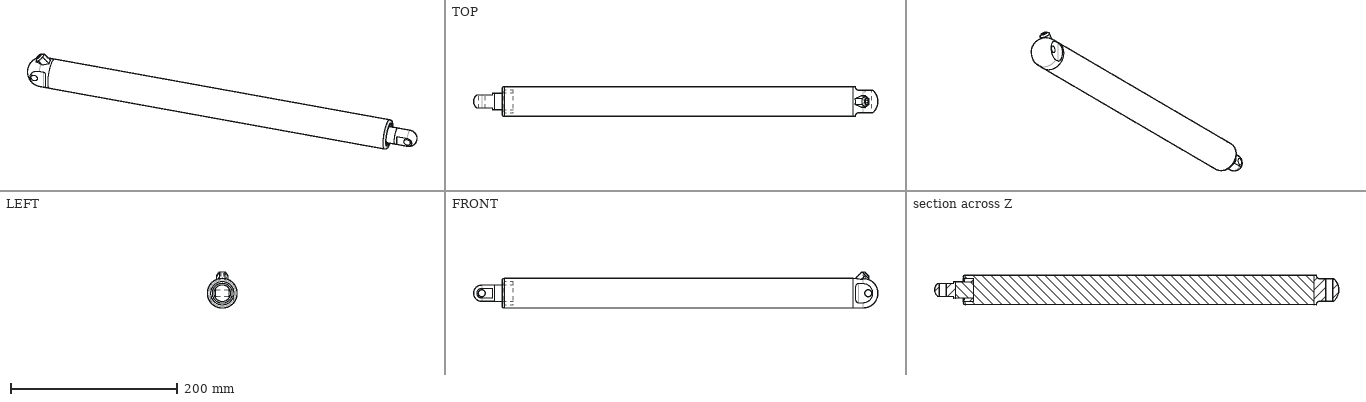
import cadquery as cq
import math

overall_length = 486.25
pin_hole_diameter = 8.15

rod_diameter = 20.0
rod_start = 25.5
eye_diameter = 19.9
eye_flat_width = 16.0
eye_flat_end = 22.75
eye_hole_x = 10.0

gland_start = 34.5
gland_head_length = 2.75
gland_head_diameter = 35.9
gland_edge_radius = 2.0
gland_spigot_diameter = 28.0
gland_spigot_length = 10.0
wiper_seats = [(28.0, 0.5), (24.0, 1.0)]
tube_start = gland_start + gland_head_length
gland_end = tube_start + gland_spigot_length

tube_diameter = 36.0
cap_diameter = 35.9
cap_radius = cap_diameter / 2
cap_dome_x = overall_length - cap_radius
cap_straight_length = 12.0
cap_start = cap_dome_x - cap_straight_length
cap_hole_to_tip = 11.75
cap_hole_x = overall_length - cap_hole_to_tip
lug_width = 27.5
lug_shoulder_length = 3.0
lug_shoulder_x = cap_start + lug_shoulder_length
lug_fillet = 3.25

fitting_tilt = 45.0
fitting_axis_x = cap_dome_x - 0.75
fitting_across_flats = 12.0
fitting_hex_height = 5.0
fitting_tip_height = 2.25
fitting_tip_diameter = fitting_across_flats - 2 * fitting_tip_height
fitting_bore_diameter = 4.0
fitting_bore_depth = 4.0
fitting_overrun = 7.0

cut_size = 2 * tube_diameter


def cylinder(diameter, start, end):
    """Round bar on the X axis."""
    return cq.Workplane("YZ", origin=(start, 0, 0)).circle(diameter / 2).extrude(end - start)


def cross_hole(x):
    """Pin hole cutter along Y."""
    return cq.Workplane("XZ", origin=(x, 0, 0)).circle(pin_hole_diameter / 2).extrude(cut_size, both=True)


def domed_bar(diameter, dome_x, flat_x):
    """Round bar from flat_x to dome_x, closed there by a half sphere."""
    radius = diameter / 2
    direction = math.copysign(1, dome_x - flat_x)
    arc_middle = radius * math.sqrt(0.5)
    return (
        cq.Workplane("XY")
        .moveTo(flat_x, 0)
        .lineTo(flat_x, radius)
        .lineTo(dome_x, radius)
        .threePointArc((dome_x + direction * arc_middle, arc_middle), (dome_x + direction * radius, 0))
        .close()
        .revolve(360, (0, 0, 0), (1, 0, 0))
    )


def make_rod_eye():
    eye = domed_bar(eye_diameter, eye_diameter / 2, rod_start)
    side_block = cq.Workplane("XY").box(eye_flat_end, cut_size, cut_size, centered=(False, True, True))
    for side in (1, -1):
        eye = eye.cut(side_block.translate((0, side * (eye_flat_width + cut_size) / 2, 0)))
    return eye.cut(cross_hole(eye_hole_x))


def make_rod():
    return cylinder(rod_diameter, rod_start, gland_end)


def make_gland():
    head = cylinder(gland_head_diameter, gland_start, tube_start)
    head = head.faces("<X").edges().fillet(gland_edge_radius)
    gland = head.union(cylinder(gland_spigot_diameter, tube_start, gland_end))
    for diameter, depth in wiper_seats:
        gland = gland.cut(cylinder(diameter, gland_start, gland_start + depth))
    return gland.cut(cylinder(rod_diameter, gland_start, gland_end))


def make_tube():
    tube = cylinder(tube_diameter, tube_start, cap_start)
    return tube.cut(cylinder(gland_spigot_diameter, tube_start, gland_end))


def make_cap():
    cap = domed_bar(cap_diameter, cap_dome_x, cap_start)
    flat_y = lug_width / 2
    for side in (1, -1):
        cheek = (
            cq.Workplane("XY")
            .moveTo(lug_shoulder_x, side * cap_diameter)
            .lineTo(lug_shoulder_x, side * (flat_y + lug_fillet))
            .radiusArc((lug_shoulder_x + lug_fillet, side * flat_y), -side * lug_fillet)
            .lineTo(overall_length, side * flat_y)
            .lineTo(overall_length, side * cap_diameter)
            .close()
            .extrude(cut_size, both=True)
        )
        cap = cap.cut(cheek)
    return cap.cut(cross_hole(cap_hole_x))


def make_fitting(cap):
    """Hexagon on the tilted axis, with its base shaped to sit on the cap."""
    tilt = math.radians(fitting_tilt)
    base_plane = cq.Plane(
        origin=(fitting_axis_x, 0, cap_radius),
        xDir=(0, 1, 0),
        normal=(math.sin(tilt), 0, math.cos(tilt)),
    )
    across_corners = fitting_across_flats / math.cos(math.radians(30))
    hexagon = (
        cq.Workplane(base_plane)
        .workplane(offset=-fitting_overrun)
        .polygon(6, across_corners)
        .extrude(fitting_overrun + fitting_hex_height)
    )
    tip = (
        cq.Workplane(base_plane)
        .workplane(offset=fitting_hex_height)
        .circle(fitting_across_flats / 2)
        .workplane(offset=fitting_tip_height)
        .circle(fitting_tip_diameter / 2)
        .loft()
    )
    bore = (
        cq.Workplane(base_plane)
        .workplane(offset=fitting_hex_height + fitting_tip_height)
        .circle(fitting_bore_diameter / 2)
        .extrude(-fitting_bore_depth)
    )
    return hexagon.union(tip).cut(bore).cut(cap)


rod_eye = make_rod_eye()
rod = make_rod()
gland = make_gland()
tube = make_tube()
cap = make_cap()
fitting = make_fitting(cap)

result = cq.Compound.makeCompound(
    [body.solids().val() for body in (rod_eye, rod, gland, tube, cap, fitting)]
)